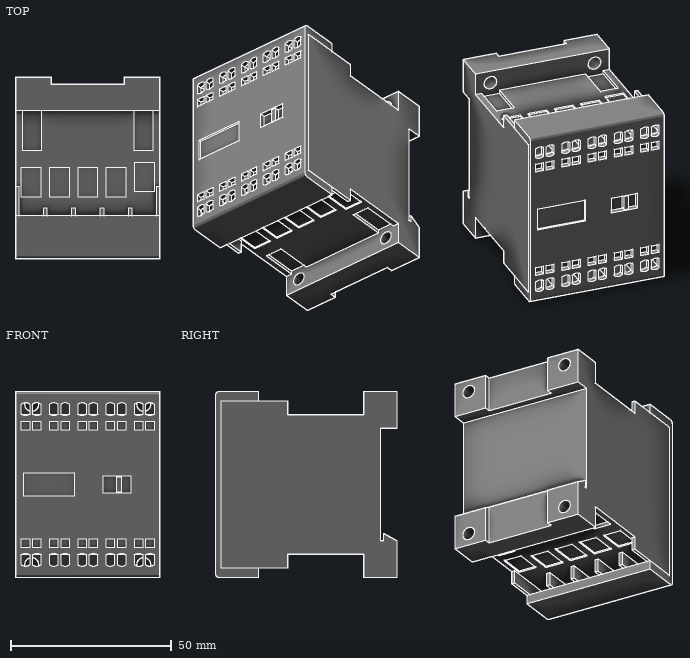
import cadquery as cq


WIDTH = 45.0
DEPTH = 56.7
HEIGHT = 58.1
HALF_WIDTH = WIDTH / 2
HALF_HEIGHT = HEIGHT / 2

COVER_PLATE = 1.75
COVER_LIP_DEPTH = 13.5
COVER_LIP_THICKNESS = 2.95
COVER_EDGE_RADIUS = 1.15

DECK_HALF_HEIGHT = 21.8
BLOCK_HALF_HEIGHT = HALF_HEIGHT - COVER_LIP_THICKNESS
BLOCK_BACK = 22.6
SIDE_WALL = 1.1
RIB_WIDTH = 1.15
RIB_BACK = 15.85

FOOT_DEPTH = 10.45
FOOT_FRONT = DEPTH - FOOT_DEPTH
FOOT_HOLE_DIAMETER = 4.25
FOOT_HOLE_X = 17.5
FOOT_HOLE_Z = 25.0
BACK_NOTCH_WIDTH = 22.65
BACK_NOTCH_DEPTH = 2.15

RAIL_DEPTH = 5.1
RAIL_HALF_HEIGHT = 17.55
HOOK_DEPTH = 4.25
HOOK_RISE = 2.3

POLE_COUNT = 5
POLE_PITCH = 8.85
PAIR_SPACING = 3.55
OPENING_WIDTH = 2.7
WIRE_OPENING_DIAMETER = 4.0
WIRE_OPENING_Z = 23.55
SQUARE_OPENING_Z = 18.3

TERMINAL_RECESS_WIDTH = PAIR_SPACING + OPENING_WIDTH
TERMINAL_RECESS_LENGTH = 9.1
TERMINAL_RECESS_FRONT = 19.35
LAST_RECESS_SHIFT = 1.6
TERMINAL_RECESS_DEPTH = 0.45
FOOT_RECESS_WIDTH = 5.9
FOOT_RECESS_LENGTH = 12.5
FOOT_RECESS_OUTER_GAP = 2.1
FOOT_RECESS_DEPTH = 1.15

LABEL_WIDTH = 16.05
LABEL_HEIGHT = 7.3
LABEL_SIDE_GAP = 2.4
LABEL_LEFT = LABEL_SIDE_GAP - HALF_WIDTH
LABEL_DEPTH = 0.7
WINDOW_WIDTH = 8.85
WINDOW_HEIGHT = 5.15
WINDOW_LEFT = 4.7
INDICATOR_WIDTH = 1.5
INDICATOR_HEIGHT = 4.7
INDICATOR_LEFT = 9.0
INDICATOR_LENGTH = 1.6

SIDES = (-1, 1)
POLE_XS = [POLE_PITCH * (i - (POLE_COUNT - 1) / 2) for i in range(POLE_COUNT)]
OPENING_XS = [x + side * PAIR_SPACING / 2 for x in POLE_XS for side in SIDES]


def box(x_left, x_right, y_front, y_back, z_low, z_high):
    """Block between the given limits."""
    size = (x_right - x_left, y_back - y_front, z_high - z_low)
    return cq.Workplane("XY").box(*size, centered=False).translate((x_left, y_front, z_low))


def centred_box(x_centre, width, y_front, y_back, z_centre, height):
    """Block centred on the given X and Z."""
    return box(
        x_centre - width / 2, x_centre + width / 2,
        y_front, y_back,
        z_centre - height / 2, z_centre + height / 2,
    )


def mirrored_in_z(shape):
    """The shape together with its mirror image below the middle."""
    return shape.union(shape.mirror("XY"))


def base_profile():
    """Side outline of the base between the decks, with feet, rail slot and hook, through the width."""
    rail_y = DEPTH - RAIL_DEPTH
    hook_y = DEPTH - HOOK_DEPTH
    points = [
        (COVER_PLATE, -DECK_HALF_HEIGHT),
        (FOOT_FRONT, -DECK_HALF_HEIGHT),
        (FOOT_FRONT, -HALF_HEIGHT),
        (DEPTH, -HALF_HEIGHT),
        (DEPTH, -RAIL_HALF_HEIGHT),
        (hook_y, HOOK_RISE - RAIL_HALF_HEIGHT),
        (hook_y, -RAIL_HALF_HEIGHT),
        (rail_y, -RAIL_HALF_HEIGHT),
        (rail_y, RAIL_HALF_HEIGHT),
        (DEPTH, RAIL_HALF_HEIGHT),
        (DEPTH, HALF_HEIGHT),
        (FOOT_FRONT, HALF_HEIGHT),
        (FOOT_FRONT, DECK_HALF_HEIGHT),
        (COVER_PLATE, DECK_HALF_HEIGHT),
    ]
    return cq.Workplane("YZ").polyline(points).close().extrude(HALF_WIDTH, both=True)


def channel_walls():
    """Side walls and the ribs between neighbouring poles, standing on both decks."""
    walls = cq.Workplane("XY")
    for side in SIDES:
        wall_x = side * (HALF_WIDTH - SIDE_WALL / 2)
        walls = walls.union(
            centred_box(wall_x, SIDE_WALL, COVER_PLATE, BLOCK_BACK, 0, 2 * BLOCK_HALF_HEIGHT)
        )
    for pole_x in POLE_XS[:-1]:
        rib_x = pole_x + POLE_PITCH / 2
        walls = walls.union(
            centred_box(rib_x, RIB_WIDTH, COVER_PLATE, RIB_BACK, 0, 2 * BLOCK_HALF_HEIGHT)
        )
    return walls


def terminal_recesses():
    """One shallow recess behind each pole; the last one sits further back."""
    recesses = cq.Workplane("XY")
    for pole_x in POLE_XS:
        front = TERMINAL_RECESS_FRONT
        if pole_x == POLE_XS[-1]:
            front += LAST_RECESS_SHIFT
        half = TERMINAL_RECESS_WIDTH / 2
        recesses = recesses.union(
            box(
                pole_x - half, pole_x + half,
                front, front + TERMINAL_RECESS_LENGTH,
                DECK_HALF_HEIGHT - TERMINAL_RECESS_DEPTH, DECK_HALF_HEIGHT,
            )
        )
    return mirrored_in_z(recesses)


def foot_recesses():
    """Recesses in the decks in front of the foot holes."""
    left = FOOT_RECESS_OUTER_GAP - HALF_WIDTH
    recess = box(
        left, left + FOOT_RECESS_WIDTH,
        FOOT_FRONT - FOOT_RECESS_LENGTH, FOOT_FRONT,
        DECK_HALF_HEIGHT - FOOT_RECESS_DEPTH, DECK_HALF_HEIGHT,
    )
    return mirrored_in_z(recess.union(recess.mirror("YZ")))


def foot_holes():
    """Screw holes through the four corners of the feet."""
    centres = [(x * FOOT_HOLE_X, z * FOOT_HOLE_Z) for x in SIDES for z in SIDES]
    holes = cq.Workplane("XZ").pushPoints(centres).circle(FOOT_HOLE_DIAMETER / 2)
    return holes.extrude(-FOOT_DEPTH).translate((0, FOOT_FRONT, 0))


def make_base():
    back_notch = centred_box(0, BACK_NOTCH_WIDTH, DEPTH - BACK_NOTCH_DEPTH, DEPTH, 0, HEIGHT)
    indicator = centred_box(
        INDICATOR_LEFT + INDICATOR_WIDTH / 2, INDICATOR_WIDTH,
        COVER_PLATE - INDICATOR_LENGTH, COVER_PLATE,
        0, INDICATOR_HEIGHT,
    )
    return (
        base_profile()
        .union(channel_walls())
        .cut(terminal_recesses())
        .cut(foot_recesses())
        .cut(foot_holes())
        .cut(back_notch)
        .union(indicator)
    )


def wire_openings():
    """Wire openings through the cover plate: circles with both sides cut flat."""
    openings = cq.Workplane("XY")
    for x in OPENING_XS:
        bore = cq.Workplane("XZ").circle(WIRE_OPENING_DIAMETER / 2).extrude(-COVER_PLATE)
        bore = bore.translate((x, 0, WIRE_OPENING_Z))
        flats = centred_box(x, OPENING_WIDTH, 0, COVER_PLATE, WIRE_OPENING_Z, WIRE_OPENING_DIAMETER)
        openings = openings.union(bore.intersect(flats))
    return mirrored_in_z(openings)


def square_openings():
    """Square release openings through the cover plate."""
    openings = cq.Workplane("XY")
    for x in OPENING_XS:
        openings = openings.union(
            centred_box(x, OPENING_WIDTH, 0, COVER_PLATE, SQUARE_OPENING_Z, OPENING_WIDTH)
        )
    return mirrored_in_z(openings)


def make_cover():
    shell = (
        centred_box(0, WIDTH, 0, COVER_LIP_DEPTH, 0, HEIGHT)
        .edges("<Y and |X")
        .fillet(COVER_EDGE_RADIUS)
        .cut(centred_box(0, WIDTH, COVER_PLATE, COVER_LIP_DEPTH, 0, 2 * BLOCK_HALF_HEIGHT))
    )
    label_pocket = centred_box(LABEL_LEFT + LABEL_WIDTH / 2, LABEL_WIDTH, 0, LABEL_DEPTH, 0, LABEL_HEIGHT)
    window = centred_box(WINDOW_LEFT + WINDOW_WIDTH / 2, WINDOW_WIDTH, 0, COVER_PLATE, 0, WINDOW_HEIGHT)
    return shell.cut(wire_openings()).cut(square_openings()).cut(label_pocket).cut(window)


base = make_base()
cover = make_cover()
result = cq.Compound.makeCompound([base.solids().val(), cover.solids().val()])